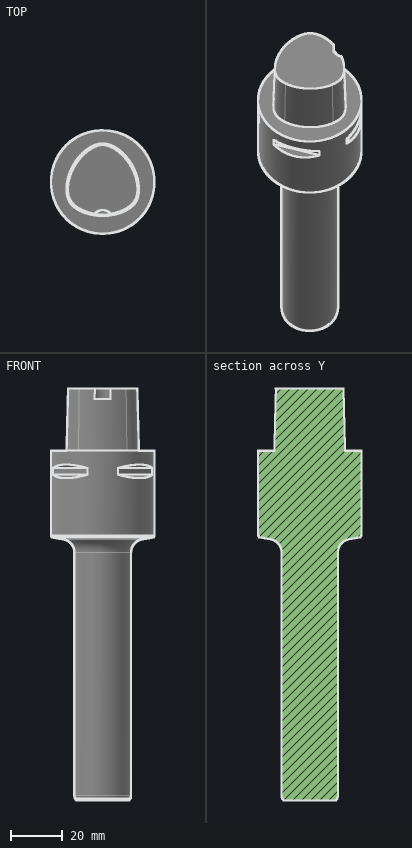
import cadquery as cq
import math

total_length = 159.0
taper_length = 24.0
flange_top = total_length - taper_length
flange_height = 33.5
flange_rim_bottom = flange_top - flange_height

flange_diameter = 40.0
flange_chamfer_height = 0.7
flange_chamfer_depth = 0.5
flange_underside_slope = 10.0
shank_diameter = 22.0
shank_lead_height = 1.0
shank_lead_depth = 0.2
shank_chamfer_height = 0.9
shank_chamfer_depth = 0.75
neck_fillet = 5.0

polygon_diameter = 28.0
lobe_eccentricity = 0.9
taper_ratio = 1 / 20
lobe_count = 3

notch_width = 6.4
notch_height = 4.0
notch_depth = 1.7

groove_count = 4
groove_below_flange_top = 8.0
groove_floor_height = 2.5
groove_depth = 2.3
groove_flank_angle = 31.0


def make_body():
    """Shank with a stepped lead-in, neck fillet and flange turned as one profile."""
    shank_radius = shank_diameter / 2
    lead_radius = shank_radius - shank_lead_depth
    rim_radius = flange_diameter / 2
    underside_radius = rim_radius - flange_chamfer_depth

    slope = math.radians(flange_underside_slope)
    fillet_center_r = shank_radius + neck_fillet
    fillet_end_r = fillet_center_r - neck_fillet * math.sin(slope)
    fillet_end_z = flange_rim_bottom - (underside_radius - fillet_end_r) * math.tan(slope)
    fillet_center_z = fillet_end_z - neck_fillet * math.cos(slope)

    return (
        cq.Workplane("XZ")
        .moveTo(0, 0)
        .lineTo(lead_radius - shank_chamfer_depth, 0)
        .lineTo(lead_radius, shank_chamfer_height)
        .lineTo(shank_radius, shank_chamfer_height + shank_lead_height)
        .lineTo(shank_radius, fillet_center_z)
        .radiusArc((fillet_end_r, fillet_end_z), neck_fillet)
        .lineTo(underside_radius, flange_rim_bottom)
        .lineTo(rim_radius, flange_rim_bottom + flange_chamfer_height)
        .lineTo(rim_radius, flange_top)
        .lineTo(0, flange_top)
        .close()
        .revolve(360, (0, 0), (0, 1))
    )


def polygon_point(normal_angle, mean_radius, z):
    """Point of the constant-width outline whose outward normal has the given angle; one lobe is on +Y."""
    lobe_phase = lobe_count * (normal_angle - math.pi / 2)
    support = mean_radius + lobe_eccentricity * math.cos(lobe_phase)
    slide = -lobe_count * lobe_eccentricity * math.sin(lobe_phase)
    x = support * math.cos(normal_angle) - slide * math.sin(normal_angle)
    y = support * math.sin(normal_angle) + slide * math.cos(normal_angle)
    return cq.Vector(x, y, z)


def polygon_wire(mean_radius, z):
    """Closed outline of alternating lobe and flat curves."""
    curve_count = 2 * lobe_count
    curve_span = 2 * math.pi / curve_count
    points_per_curve = 9
    edges = []
    for curve in range(curve_count):
        start = math.pi / 2 + (curve - 0.5) * curve_span
        angles = [start + curve_span * i / (points_per_curve - 1) for i in range(points_per_curve)]
        edges.append(cq.Edge.makeSpline([polygon_point(a, mean_radius, z) for a in angles]))
    return cq.Wire.assembleEdges(edges)


def make_polygon():
    """Tapered polygon, widest where it stands on the flange."""
    base_radius = polygon_diameter / 2
    tip_radius = base_radius - taper_ratio * taper_length / 2
    base = polygon_wire(base_radius, flange_top)
    tip = polygon_wire(tip_radius, total_length)
    return cq.Workplane(cq.Solid.makeLoft([base, tip], True))


def make_notch():
    """Round-backed notch, open at the tip of the polygon."""
    tip_flat = polygon_diameter / 2 - taper_ratio * taper_length / 2 - lobe_eccentricity
    half_width = notch_width / 2
    outer_y = -polygon_diameter / 2
    return (
        cq.Workplane("XY", origin=(0, 0, total_length - notch_height))
        .moveTo(-half_width, outer_y)
        .lineTo(-half_width, -tip_flat)
        .threePointArc((0, notch_depth - tip_flat), (half_width, -tip_flat))
        .lineTo(half_width, outer_y)
        .close()
        .extrude(notch_height)
    )


def make_groove(direction):
    """Straight groove with sloping flanks across the flange rim, facing the given angle."""
    rim = flange_diameter / 2
    floor = rim - groove_depth
    floor_half = groove_floor_height / 2
    mouth_half = floor_half + groove_depth * math.tan(math.radians(groove_flank_angle))
    return (
        cq.Workplane("XZ")
        .polyline([(floor, -floor_half), (rim, -mouth_half), (rim, mouth_half), (floor, floor_half)])
        .close()
        .extrude(rim, both=True)
        .translate((0, 0, flange_top - groove_below_flange_top))
        .rotate((0, 0, 0), (0, 0, 1), direction)
    )


result = make_body().union(make_polygon()).cut(make_notch())
groove_pitch = 360 / groove_count
for index in range(groove_count):
    result = result.cut(make_groove((index + 0.5) * groove_pitch))